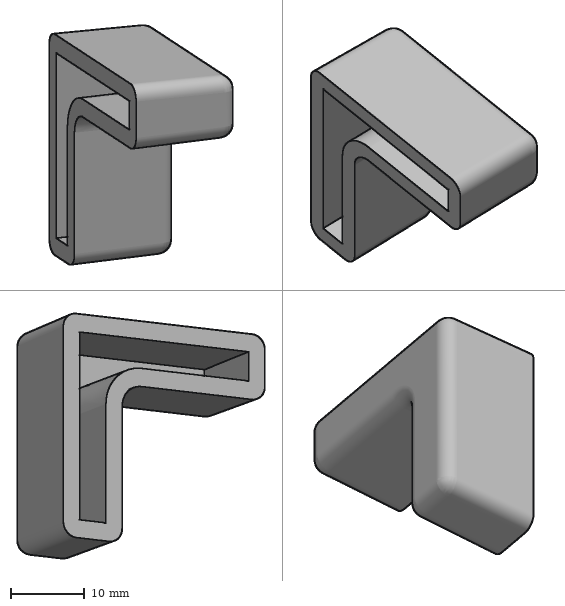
import cadquery as cq
import math

side = 31.3
depth = 15.0
leg_width = 9.15
outer_lean = 0.15
edge_radius = 2.0
inner_corner_radius = 3.0

wall = 2.55
cavity_depth = depth - wall
cavity_lean = 0.1


def drafted_l(inset, length, lean):
    """L inset from the outer outline, with a rounded inner corner, tapering toward +Y."""
    near = inset
    far = side - inset
    leg_edge = leg_width - inset
    arc_center = leg_width + inner_corner_radius
    arc_radius = inner_corner_radius + inset
    arc_middle = arc_center - arc_radius * math.cos(math.radians(45))
    outline = (
        cq.Workplane("XZ")
        .moveTo(near, -near)
        .lineTo(far, -near)
        .lineTo(far, -leg_edge)
        .lineTo(arc_center, -leg_edge)
        .threePointArc((arc_middle, -arc_middle), (leg_edge, -arc_center))
        .lineTo(leg_edge, -far)
        .lineTo(near, -far)
        .close()
    )
    return outline.extrude(-length, taper=math.degrees(math.atan(lean / length)))


def outer_corner_edges(body):
    """Depth-wise edges at the five convex corners of the L."""
    corners = [(0, 0), (side, 0), (side, -leg_width), (leg_width, -side), (0, -side)]
    depth_edges = body.edges("not(#Y)")
    return [
        depth_edges.edges(cq.NearestToPointSelector((x, depth / 2, z))).val()
        for x, z in corners
    ]


body = drafted_l(0, depth, outer_lean)
body = body.newObject(outer_corner_edges(body)).fillet(edge_radius)
body = body.faces(">Y").edges().fillet(edge_radius)

cavity = drafted_l(wall, cavity_depth, cavity_lean)

result = body.cut(cavity)